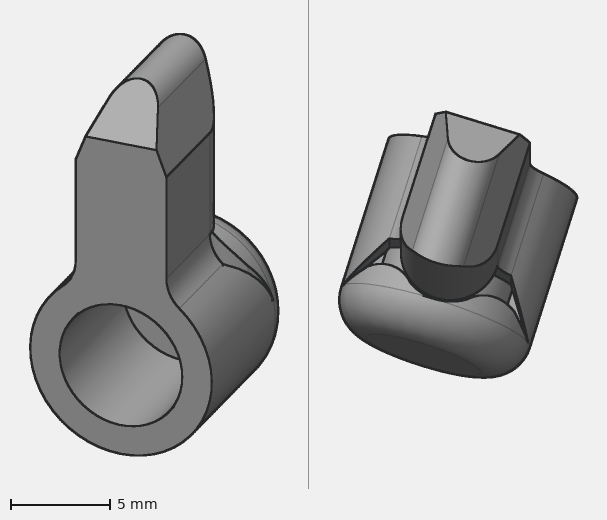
import math

import cadquery as cq


barrel_radius = 5.0
barrel_length = 10.0
back_edge_radius = 2.0
bore_radius = 6.75 / 2
back_wall = 2.0

lever_width = 5.0
lever_depth = 8.0
lever_top = 15.0
tip_radius = 1.45
taper_angle = math.radians(21.0)
tip_bevel = 2.5

root_radius = 2.0

bore_web = 0.1
undercut_half_span = 4.9

undercut_bend = (1.5, 7.5)
undercut_dip = (2.9, 6.85)
undercut_flare = (3.9, 7.1)

half_width = lever_width / 2
flank_length = lever_depth - half_width
bore_depth = barrel_length - back_wall

root_x = half_width + root_radius
root_z = math.sqrt((barrel_radius + root_radius) ** 2 - root_x**2)
foot_scale = barrel_radius / (barrel_radius + root_radius)
foot_x = root_x * foot_scale
foot_z = root_z * foot_scale


def along_y(profile, length):
    """Extrude an XZ profile from Y = 0 toward +Y."""
    return profile.extrude(-length)


def make_barrel():
    """Solid cylinder with a rounded back edge."""
    barrel = along_y(cq.Workplane("XZ").circle(barrel_radius), barrel_length)
    return barrel.faces(">Y").edges().fillet(back_edge_radius)


def make_bore():
    """Blind bore, open at the front."""
    return along_y(cq.Workplane("XZ").circle(bore_radius), bore_depth)


def make_undercut():
    """Saddle-shaped space under the lever overhang, stopping short of the bore."""
    bend_x, bend_y = undercut_bend
    dip_x, dip_y = undercut_dip
    flare_x, flare_y = undercut_flare
    tip_x = undercut_half_span
    tip_z = math.sqrt(barrel_radius**2 - tip_x**2)
    space = (
        cq.Workplane("XY", origin=(0, 0, tip_z))
        .moveTo(-foot_x, flank_length)
        .lineTo(foot_x, flank_length)
        .lineTo(tip_x, lever_depth)
        .lineTo(flare_x, flare_y)
        .threePointArc((dip_x, dip_y), (bend_x, bend_y))
        .threePointArc((0, lever_depth), (-bend_x, bend_y))
        .threePointArc((-dip_x, dip_y), (-flare_x, flare_y))
        .lineTo(-tip_x, lever_depth)
        .close()
        .extrude(root_z - tip_z)
    )
    floor = along_y(cq.Workplane("XZ").circle(bore_radius + bore_web), barrel_length)
    return space.cut(floor)


def make_blade():
    """Lever above the root: tapered flanks, round tip, full-round back, bevelled front corner."""
    tip_center = lever_top - tip_radius
    tangent_x = tip_radius * math.cos(taper_angle)
    tangent_z = tip_center + tip_radius * math.sin(taper_angle)
    taper_start = tangent_z - (half_width - tangent_x) / math.tan(taper_angle)

    profile = (
        cq.Workplane("XZ")
        .moveTo(-half_width, root_z)
        .lineTo(half_width, root_z)
        .lineTo(half_width, taper_start)
        .lineTo(tangent_x, tangent_z)
        .threePointArc((0, lever_top), (-tangent_x, tangent_z))
        .lineTo(-half_width, taper_start)
        .close()
    )
    plan = (
        cq.Workplane("XY")
        .moveTo(-half_width, 0)
        .lineTo(half_width, 0)
        .lineTo(half_width, flank_length)
        .threePointArc((0, lever_depth), (-half_width, flank_length))
        .close()
        .extrude(lever_top)
    )
    bevel = (
        cq.Workplane("YZ")
        .moveTo(0, lever_top - tip_bevel)
        .lineTo(tip_bevel, lever_top)
        .lineTo(0, lever_top)
        .close()
        .extrude(half_width, both=True)
    )
    return along_y(profile, lever_depth).intersect(plan).cut(bevel)


def make_root():
    """Lever base that flares into the barrel with concave blends, reaching down to the barrel axis."""
    flank_angle = math.pi
    foot_angle = math.pi + math.atan2(root_z, root_x)
    middle_angle = (flank_angle + foot_angle) / 2
    mid_x = root_x + root_radius * math.cos(middle_angle)
    mid_z = root_z + root_radius * math.sin(middle_angle)
    profile = (
        cq.Workplane("XZ")
        .moveTo(0, 0)
        .lineTo(foot_x, foot_z)
        .threePointArc((mid_x, mid_z), (half_width, root_z))
        .lineTo(-half_width, root_z)
        .threePointArc((-mid_x, mid_z), (-foot_x, foot_z))
        .close()
    )
    return along_y(profile, flank_length)


barrel = make_barrel().cut(make_undercut())
lever = make_root().union(make_blade())
result = barrel.union(lever).cut(make_bore())